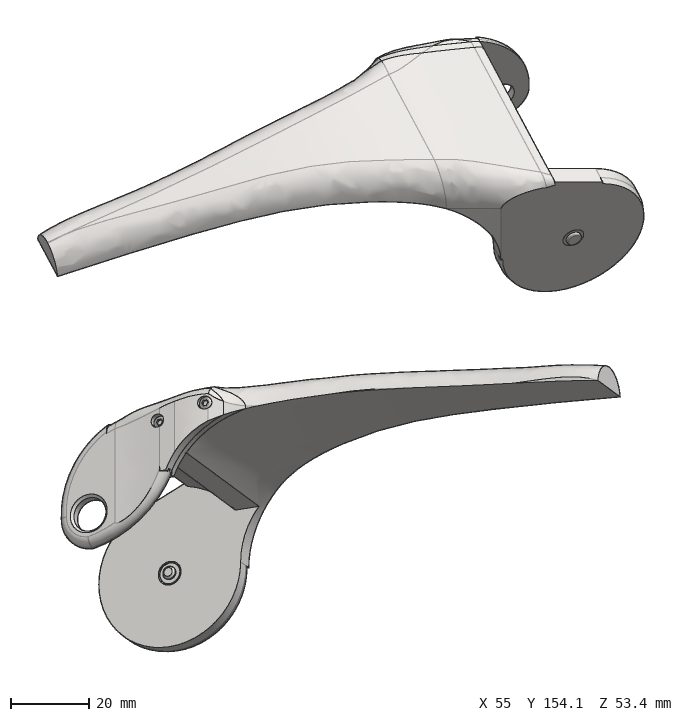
import cadquery as cq
import math


half_width = 27.0
arm_thickness = 5.0
arm_inner_x = half_width - arm_thickness
side_plate_thickness = 3.0
spacer_thickness = 2.0
spacer_outer_x = -half_width + side_plate_thickness
spacer_inner_x = spacer_outer_x + spacer_thickness

arm_radius = 20.0
tip_y = arm_radius - 154.09
tip_underside_z = 22.2
rear_y = -5.0
roof_z = 45.0
floor_z = -25.0
margin = 1.0
tangent_angle = math.radians(24.1)
arm_edge_width = 1.7
arm_edge_drop = 0.5
underside_points = [
    (-98.0, 25.2),
    (-70.0, 26.5),
    (-46.9, 24.7),
    (-33.0, 20.6),
    (-24.6, 13.6),
    (-arm_radius, 0),
]

roller_radius = 23.4
lip_z = 14.3
lip_front_y = -30.0

spacer_bottom_z = 8.3
lobe_radius = 8.6
lobe_edge_radius = 2.3
lobe_front = (-22.0, 8.5)
lobe_front_middle = (-13.4, -2.4)
lobe_back_middle = (5.2, 14.2)
lobe_back_end = (rear_y, 24.1)
lobe_top = (-12.0, 30.0)
plate_overlap = 2.0
plate_hole_diameter = 9.0
plate_hole_rim_diameter = 10.4

screw_places = [(-19.3, 22.3), (-32.1, 25.6)]
screw_head_diameter = 3.5
screw_head_floor_x = -24.7
screw_head_top_x = -25.7
screw_head_rounding = 0.6
screw_shank_diameter = 2.0
screw_tip_x = -18.0
screw_socket_width = 1.5
screw_socket_depth = 0.7

pin_diameter = 5.7
pin_rim_diameter = 6.4
pin_inner_diameter = 3.5
pin_inner_end_diameter = 2.35
pin_outer_diameter = 4.0
pin_inner_reach = 1.0
pin_outer_reach = 0.93
pin_outer_rounding = 0.3

flank_bulge = 0.18
grip_sections = [
    (tip_y, -6.8, -0.15, 0.15, 6.8, 28.1, tip_underside_z, tip_underside_z),
    (-112.0, -9.0, -1.7, 0.9, 8.1, 30.6, 24.2, 24.2),
    (-84.0, -12.2, -4.9, 3.5, 10.4, 32.7, 26.1, 26.1),
    (-61.0, -16.7, -9.1, 6.3, 14.1, 33.37, 26.1, 26.1),
    (-44.6, -21.1, -13.2, 10.5, 18.3, 32.5, 24.3, 24.3),
    (-33.0, -25.6, -17.0, 13.7, 22.0, 31.1, 28.0, 20.8),
    (-26.0, -26.9, -19.6, 15.9, 24.8, 30.1, 27.2, 20.6),
    (-20.0, -half_width, -23.0, 18.3, half_width, 28.7, 25.6, 20.4),
    (-7.4, -half_width, -24.0, 23.2, half_width, 25.0, 21.9, 23.0),
    (rear_y, -half_width, -24.0, 24.5, half_width, 24.1, 21.0, 23.0),
]
head_start = 5


def box(x_range, y_range, z_range):
    sizes = [high - low for low, high in (x_range, y_range, z_range)]
    corner = (x_range[0], y_range[0], z_range[0])
    return cq.Workplane("XY").box(*sizes, centered=False).translate(corner)


def rod(diameter, x_range, place=(0, 0)):
    """Cylinder along X, centred on place = (Y, Z)."""
    plane = cq.Workplane("YZ", origin=(x_range[0], 0, 0))
    return plane.center(*place).circle(diameter / 2).extrude(x_range[1] - x_range[0])


def cone(start_diameter, end_diameter, x_range):
    """Truncated cone on the pivot axis."""
    start = cq.Workplane("YZ", origin=(x_range[0], 0, 0)).circle(start_diameter / 2)
    return start.workplane(offset=x_range[1] - x_range[0]).circle(end_diameter / 2).loft(ruled=True)


def flank_middle(crest, edge, outward):
    """Middle point of the arc that bows from the crest to the outer edge."""
    run = edge[0] - crest[0]
    fall = crest[1] - edge[1]
    x = (crest[0] + edge[0]) / 2 + outward * flank_bulge * fall
    z = (crest[1] + edge[1]) / 2 + flank_bulge * abs(run)
    return (x, z)


def section_wire(section):
    """Flat crest, two bowed flanks and straight walls down to the floor."""
    y, left_x, left_crest_x, right_crest_x, right_x, crest_z, left_z, right_z = section
    left_edge = (left_x, left_z)
    left_crest = (left_crest_x, crest_z)
    right_edge = (right_x, right_z)
    right_crest = (right_crest_x, crest_z)
    outline = (
        cq.Workplane("XZ", origin=(0, y, 0))
        .moveTo(left_x, floor_z)
        .lineTo(*left_edge)
        .threePointArc(flank_middle(left_crest, left_edge, -1), left_crest)
        .lineTo(*right_crest)
        .threePointArc(flank_middle(right_crest, right_edge, 1), right_edge)
        .lineTo(right_x, floor_z)
        .close()
    )
    return outline.val()


def make_envelope():
    """Outer form that the grip, spacer and side plate share."""
    wires = [section_wire(section) for section in grip_sections]
    width = (-half_width, half_width)
    grip = cq.Workplane(cq.Solid.makeLoft(wires[:head_start + 1]))
    head = cq.Workplane(cq.Solid.makeLoft(wires[head_start:-1]))
    head = head.intersect(box(width, (tip_y, rear_y), (floor_z, roof_z)))
    rim = cq.Workplane(cq.Solid.makeLoft(wires[-2:], True))
    rear = box(width, (rear_y, arm_radius), (floor_z, roof_z))
    return grip.union(head).union(rim).union(rear)


def lever_slab(x_range):
    """Lever seen from the side: underside curve, round arm end and straight back."""
    back_start = (arm_radius * math.sin(tangent_angle), arm_radius * math.cos(tangent_angle))
    arc_middle = (arm_radius * math.cos(math.pi / 6), arm_radius * math.sin(math.pi / 6))
    back_end_z = (arm_radius - rear_y * math.sin(tangent_angle)) / math.cos(tangent_angle)
    return (
        cq.Workplane("YZ", origin=(x_range[0], 0, 0))
        .moveTo(tip_y, roof_z)
        .lineTo(tip_y, tip_underside_z)
        .spline(underside_points, tangents=[(1, 0.1), (0, -1)], includeCurrent=True)
        .threePointArc((0, -arm_radius), (arm_radius, 0))
        .threePointArc(arc_middle, back_start)
        .lineTo(rear_y, back_end_z)
        .lineTo(rear_y, roof_z)
        .close()
        .extrude(x_range[1] - x_range[0])
    )


def roller_space():
    x_range = (spacer_inner_x, arm_inner_x)
    space = rod(2 * roller_radius, x_range)
    space = space.union(box(x_range, (lip_front_y, arm_radius), (floor_z, lip_z)))
    return space.union(box(x_range, (rear_y, roller_radius), (floor_z, roof_z)))


def arm_edge_bevel():
    """Ring that bevels the outer edge of the arm's round end."""
    x_range = (half_width - arm_edge_width, half_width)
    end_diameter = 2 * (arm_radius - arm_edge_drop)
    ring = rod(2 * arm_radius + margin, x_range).cut(cone(2 * arm_radius, end_diameter, x_range))
    tangent_y = arm_radius * math.sin(tangent_angle)
    outside = arm_radius + margin
    below_pivot = box(x_range, (-outside, outside), (floor_z, 0))
    behind_back = box(x_range, (tangent_y, outside), (floor_z, roof_z))
    return ring.intersect(below_pivot.union(behind_back))


def make_handle(envelope):
    handle = lever_slab((spacer_inner_x, half_width)).intersect(envelope)
    handle = handle.cut(roller_space()).cut(arm_edge_bevel())
    hole = rod(pin_diameter, (arm_inner_x, half_width))
    rim_depth = (pin_rim_diameter - pin_diameter) / 2
    rim = cone(pin_rim_diameter, pin_diameter, (arm_inner_x, arm_inner_x + rim_depth))
    return handle.cut(hole).cut(rim)


def make_spacer(envelope):
    x_range = (spacer_outer_x, spacer_inner_x)
    limits = box(x_range, (tip_y, rear_y), (spacer_bottom_z, roof_z))
    return lever_slab(x_range).intersect(limits).intersect(envelope)


def make_lobe():
    """Rounded rear end of the side plate, around the pivot."""
    diagonal = lobe_radius * math.sqrt(0.5)
    lobe = (
        cq.Workplane("YZ", origin=(-half_width, 0, 0))
        .moveTo(*lobe_front)
        .threePointArc(lobe_front_middle, (0, -lobe_radius))
        .threePointArc((diagonal, -diagonal), (lobe_radius, 0))
        .threePointArc(lobe_back_middle, lobe_back_end)
        .lineTo(*lobe_top)
        .lineTo(lobe_front[0], roof_z)
        .close()
        .extrude(side_plate_thickness)
    )
    edge_zone = cq.selectors.BoxSelector(
        (-half_width - margin, lobe_front[0] + margin, floor_z),
        (-half_width + margin, arm_radius, lobe_top[1]),
    )
    return lobe.faces("<X").edges(edge_zone).fillet(lobe_edge_radius)


def make_side_plate(envelope):
    x_range = (-half_width, spacer_outer_x)
    front_limits = box(x_range, (tip_y, lobe_front[0] + plate_overlap), (lobe_front[1], roof_z))
    front = lever_slab(x_range).intersect(front_limits)
    plate = make_lobe().union(front).intersect(envelope)
    rim_depth = (plate_hole_rim_diameter - plate_hole_diameter) / 2
    rim_end_x = -half_width + rim_depth
    plate = plate.cut(rod(plate_hole_diameter, x_range))
    return plate.cut(cone(plate_hole_rim_diameter, plate_hole_diameter, (-half_width, rim_end_x)))


def screw_hole(place):
    head = rod(screw_head_diameter, (-half_width, screw_head_floor_x), place)
    return head.union(rod(screw_shank_diameter, (screw_head_floor_x, screw_tip_x), place))


def make_screw(place):
    head = rod(screw_head_diameter, (screw_head_top_x, screw_head_floor_x), place)
    head = head.faces("<X").edges().fillet(screw_head_rounding)
    socket = (
        cq.Workplane("YZ", origin=(screw_head_top_x, 0, 0))
        .center(*place)
        .polygon(6, screw_socket_width / math.cos(math.pi / 6))
        .extrude(screw_socket_depth)
    )
    shank = rod(screw_shank_diameter, (screw_head_floor_x, screw_tip_x), place)
    return head.cut(socket).union(shank)


def make_pin():
    pin = rod(pin_diameter, (arm_inner_x, half_width))
    inner_x = arm_inner_x - pin_inner_reach
    taper = (pin_inner_diameter - pin_inner_end_diameter) / 2
    pin = pin.union(rod(pin_inner_diameter, (inner_x + taper, arm_inner_x)))
    pin = pin.union(cone(pin_inner_end_diameter, pin_inner_diameter, (inner_x, inner_x + taper)))
    outer_end = rod(pin_outer_diameter, (half_width, half_width + pin_outer_reach))
    return pin.union(outer_end.faces(">X").edges().fillet(pin_outer_rounding))


envelope = make_envelope()
handle = make_handle(envelope)
spacer = make_spacer(envelope)
side_plate = make_side_plate(envelope)
pin = make_pin()
screws = [make_screw(place) for place in screw_places]

for place in screw_places:
    handle = handle.cut(screw_hole(place))
    spacer = spacer.cut(screw_hole(place))
    side_plate = side_plate.cut(screw_hole(place))

result = cq.Compound.makeCompound([
    handle.val(),
    spacer.val(),
    side_plate.val(),
    pin.val(),
    *[screw.val() for screw in screws],
])